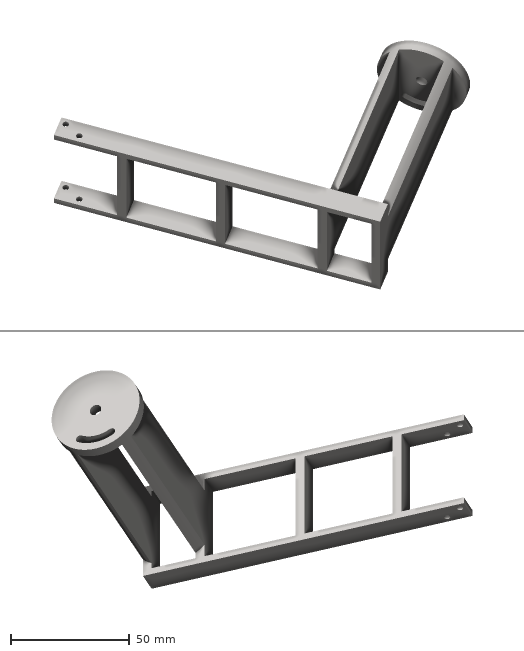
import cadquery as cq
import math

frame_length = 145.8
frame_depth = 10.0
rail_thickness = 3.0
rung_width = 4.1
rung_starts = (28.3, 72.4, 117.8)
end_rung_width = 3.8

disc_diameter = 40.0
disc_thickness = 5.0
total_length = 152.0
total_depth = 100.0
disc_x = total_length - disc_diameter / 2
frame_height = disc_diameter + 2 * rail_thickness
bore_diameter = 5.2

slot_radius = 14.9
slot_width = 3.3
slot_half_angle = math.radians(29)

pin_diameter = 2.7
pin_places = ((2.9, 7.1), (10.3, 3.0))

end_rung = (frame_length - end_rung_width, end_rung_width)
uprights = [(start, rung_width) for start in rung_starts] + [end_rung]
wall_uprights = uprights[-2:]


def upright_block(start, width, depth):
    """Full-height block running back from the front face, centred on Z = 0."""
    block = cq.Workplane("XY").box(width, depth, disc_diameter, centered=(False, False, True))
    return block.translate((start, 0, 0))


def cylinder_along_y(diameter, start, end):
    """Cylinder on the disc axis between two Y positions."""
    plane = cq.Workplane("XZ", origin=(disc_x, start, 0))
    return plane.circle(diameter / 2).extrude(start - end)


def make_frame():
    frame = cq.Workplane("XY")
    for side in (-1, 1):
        rail = cq.Workplane("XY").box(
            frame_length, frame_depth, rail_thickness, centered=(False, False, True)
        )
        frame = frame.add(rail.translate((0, 0, side * (frame_height - rail_thickness) / 2)))
    for start, width in uprights:
        frame = frame.add(upright_block(start, width, frame_depth))
    return frame.combine()


def make_walls():
    """Flat walls whose top and bottom edges follow the disc's rim."""
    envelope = cylinder_along_y(disc_diameter, frame_depth, total_depth)
    walls = cq.Workplane("XY")
    for start, width in wall_uprights:
        walls = walls.add(upright_block(start, width, total_depth).intersect(envelope))
    return walls.combine()


def make_slot(front):
    """Cutter for the arc slot: two concentric arcs joined by rounded ends."""

    def at(radius, angle):
        return (radius * math.sin(angle), -radius * math.cos(angle))

    inner = slot_radius - slot_width / 2
    outer = slot_radius + slot_width / 2
    tip_x, tip_z = at(slot_radius, slot_half_angle)
    tip_x += slot_width / 2 * math.cos(slot_half_angle)
    tip_z += slot_width / 2 * math.sin(slot_half_angle)
    return (
        cq.Workplane("XZ", origin=(disc_x, front, 0))
        .moveTo(*at(outer, -slot_half_angle))
        .threePointArc(at(outer, 0), at(outer, slot_half_angle))
        .threePointArc((tip_x, tip_z), at(inner, slot_half_angle))
        .threePointArc(at(inner, 0), at(inner, -slot_half_angle))
        .threePointArc((-tip_x, tip_z), at(outer, -slot_half_angle))
        .close()
        .extrude(-disc_thickness)
    )


def make_disc():
    front = total_depth - disc_thickness
    disc = cylinder_along_y(disc_diameter, front, total_depth)
    disc = disc.cut(cylinder_along_y(bore_diameter, front, total_depth))
    return disc.cut(make_slot(front))


def make_pin_holes():
    plane = cq.Workplane("XY", origin=(0, 0, -frame_height / 2))
    return plane.pushPoints(pin_places).circle(pin_diameter / 2).extrude(frame_height)


result = make_frame().union(make_walls()).union(make_disc()).cut(make_pin_holes())